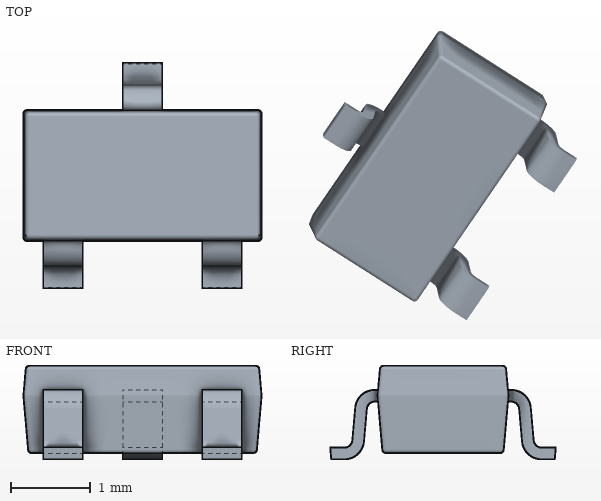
import cadquery as cq
import math

body_length = 3.0
body_width = 1.65
body_bottom = 0.078
body_top = 1.18
parting_height = 0.8
draft_angle = 5.0
edge_radius = 0.05

lead_width = 0.5
lead_thickness = 0.15
lead_pitch = 1.0
lead_span = 2.84
inner_bend_radius = 0.1
shoulder_length = 0.033
embed_depth = 0.15
leg_tilt = math.radians(5.0)

outer_bend_radius = inner_bend_radius + lead_thickness
lead_top = parting_height + lead_thickness / 2


def body_half(height):
    """Extrude from the parting plane, up or down, narrowing with the draft angle."""
    return (
        cq.Workplane("XY", origin=(0, 0, parting_height))
        .rect(body_length, body_width)
        .extrude(height, taper=draft_angle)
    )


def make_body():
    upper = body_half(body_top - parting_height)
    lower = body_half(body_bottom - parting_height)
    upper = upper.edges("not <Z").fillet(edge_radius)
    lower = lower.edges("not >Z").fillet(edge_radius)
    return upper.union(lower)


def bend_point(center, radius, angle):
    return (
        center[0] + radius * math.cos(angle),
        center[1] + radius * math.sin(angle),
    )


def make_lead(x_center):
    """Lead leaving the body toward +Y, outlined in (Y, Z) and extruded along X."""
    root_y = body_width / 2 - embed_depth
    tip_y = lead_span / 2
    tip_slant = lead_thickness * math.tan(leg_tilt)

    upper_center = (body_width / 2 + shoulder_length, lead_top - outer_bend_radius)
    center_drop = upper_center[1] - outer_bend_radius
    radius_sum = inner_bend_radius + outer_bend_radius
    leg_length = (center_drop + radius_sum * math.sin(leg_tilt)) / math.cos(leg_tilt)
    center_shift = radius_sum * math.cos(leg_tilt) + leg_length * math.sin(leg_tilt)
    lower_center = (upper_center[0] + center_shift, outer_bend_radius)

    upper_end = leg_tilt
    upper_mid = (math.pi / 2 + upper_end) / 2
    lower_end = math.pi + leg_tilt
    lower_mid = (3 * math.pi / 2 + lower_end) / 2

    outline = (
        cq.Workplane("YZ", origin=(x_center - lead_width / 2, 0, 0))
        .moveTo(root_y, lead_top)
        .lineTo(upper_center[0], lead_top)
        .threePointArc(
            bend_point(upper_center, outer_bend_radius, upper_mid),
            bend_point(upper_center, outer_bend_radius, upper_end),
        )
        .lineTo(*bend_point(lower_center, inner_bend_radius, lower_end))
        .threePointArc(
            bend_point(lower_center, inner_bend_radius, lower_mid),
            (lower_center[0], lead_thickness),
        )
        .lineTo(tip_y, lead_thickness)
        .lineTo(tip_y - tip_slant, 0)
        .lineTo(lower_center[0], 0)
        .threePointArc(
            bend_point(lower_center, outer_bend_radius, lower_mid),
            bend_point(lower_center, outer_bend_radius, lower_end),
        )
        .lineTo(*bend_point(upper_center, inner_bend_radius, upper_end))
        .threePointArc(
            bend_point(upper_center, inner_bend_radius, upper_mid),
            (upper_center[0], lead_top - lead_thickness),
        )
        .lineTo(root_y, lead_top - lead_thickness)
        .close()
    )
    return outline.extrude(lead_width)


result = make_body().union(make_lead(0))
for x_position in (-lead_pitch, lead_pitch):
    front_lead = make_lead(x_position).mirror("XZ")
    result = result.union(front_lead)